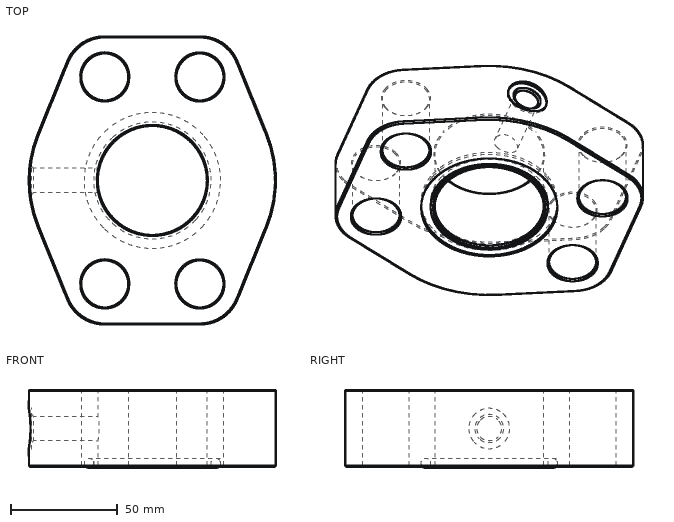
import cadquery as cq
import math

length = 135.0
plate_height = 36.0
side_radius = 57.9
top_chamfer = 0.5
bottom_chamfer = 0.8

bolt_x = 22.3
bolt_y = 48.5
bolt_diameter = 22.0
corner_radius = length / 2 - bolt_y

bore_diameter = 51.0

groove_outer_diameter = 63.9
groove_inner_diameter = 55.0
seal_protrusion = 0.4
seal_thickness = (groove_outer_diameter - groove_inner_diameter) / 2
seal_center_radius = (groove_outer_diameter + groove_inner_diameter) / 4
groove_depth = seal_thickness - seal_protrusion

port_diameter = 11.5
port_chamfer = 1.0
spotface_diameter = 19.0
spotface_depth = 1.4
port_z = plate_height / 2


def make_outline():
    """Side arcs about the origin joined to the corner arcs by common tangents."""
    bolt_distance = math.hypot(bolt_x, bolt_y)
    bolt_angle = math.atan2(bolt_y, bolt_x)
    tangent_angle = bolt_angle - math.acos((side_radius - corner_radius) / bolt_distance)
    corner_mid_angle = (tangent_angle + math.pi / 2) / 2

    side_x = side_radius * math.cos(tangent_angle)
    side_y = side_radius * math.sin(tangent_angle)
    corner_x = bolt_x + corner_radius * math.cos(tangent_angle)
    corner_y = bolt_y + corner_radius * math.sin(tangent_angle)
    mid_x = bolt_x + corner_radius * math.cos(corner_mid_angle)
    mid_y = bolt_y + corner_radius * math.sin(corner_mid_angle)
    end_y = length / 2

    return (
        cq.Workplane("XY")
        .moveTo(side_x, -side_y)
        .threePointArc((side_radius, 0), (side_x, side_y))
        .lineTo(corner_x, corner_y)
        .threePointArc((mid_x, mid_y), (bolt_x, end_y))
        .lineTo(-bolt_x, end_y)
        .threePointArc((-mid_x, mid_y), (-corner_x, corner_y))
        .lineTo(-side_x, side_y)
        .threePointArc((-side_radius, 0), (-side_x, -side_y))
        .lineTo(-corner_x, -corner_y)
        .threePointArc((-mid_x, -mid_y), (-bolt_x, -end_y))
        .lineTo(bolt_x, -end_y)
        .threePointArc((mid_x, -mid_y), (corner_x, -corner_y))
        .close()
    )


def make_port_cutter():
    """Spotface, countersink and drilling, revolved about the port axis."""
    floor_x = spotface_depth - side_radius
    port_radius = port_diameter / 2
    spotface_radius = spotface_diameter / 2
    return (
        cq.Workplane("XZ")
        .moveTo(-side_radius, 0)
        .lineTo(-side_radius, spotface_radius)
        .lineTo(floor_x, spotface_radius)
        .lineTo(floor_x, port_radius + port_chamfer)
        .lineTo(floor_x + port_chamfer, port_radius)
        .lineTo(0, port_radius)
        .lineTo(0, 0)
        .close()
        .revolve(360, (0, 0, 0), (1, 0, 0))
        .translate((0, 0, port_z))
    )


def make_flange():
    bolt_points = [(x, y) for x in (-bolt_x, bolt_x) for y in (-bolt_y, bolt_y)]
    plate = make_outline().extrude(plate_height)
    bolt_holes = cq.Workplane("XY").pushPoints(bolt_points).circle(bolt_diameter / 2).extrude(plate_height)
    bore = cq.Workplane("XY").circle(bore_diameter / 2).extrude(plate_height)
    plate = plate.cut(bolt_holes).cut(bore)

    plate = plate.faces(">Z").edges().chamfer(top_chamfer)
    plate = plate.faces("<Z").edges().chamfer(bottom_chamfer)

    groove = (
        cq.Workplane("XY")
        .circle(groove_outer_diameter / 2)
        .circle(groove_inner_diameter / 2)
        .extrude(groove_depth)
    )
    return plate.cut(groove).cut(make_port_cutter())


def make_seal_ring():
    seal_center_z = groove_depth - seal_thickness / 2
    return (
        cq.Workplane("XZ")
        .center(seal_center_radius, seal_center_z)
        .circle(seal_thickness / 2)
        .revolve(360, (-seal_center_radius, 0, 0), (-seal_center_radius, 1, 0))
    )


flange = make_flange()
seal_ring = make_seal_ring()

result = cq.Compound.makeCompound([flange.val(), seal_ring.val()])